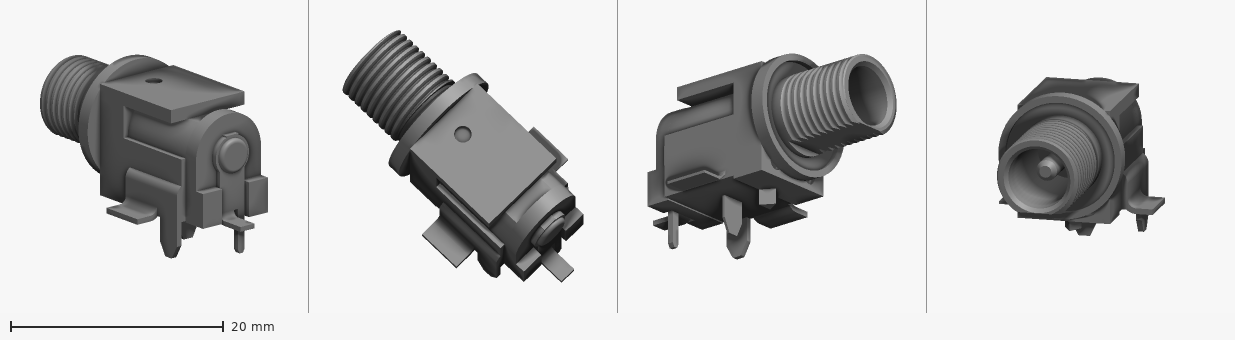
import cadquery as cq
import math


thread_radius = 3.97
thread_pitch = 25.4 / 32
thread_depth = 0.42
thread_root_radius = thread_radius - thread_depth
groove_root_width = 0.1
groove_mouth_width = 0.52
groove_phase = 0.11
groove_overshoot = 0.2
groove_lead_turns = 2
groove_end = 7.25
groove_lead = 5.0
blank_seam_angle = 37
tip_radius = 3.82
tip_chamfer_length = 0.1
relief_start = 7.2
relief_radius = 3.5
relief_end = 7.45
collar_start = 7.75
barrel_flat_z = -3.28

flange_front = 8.27
flange_back = 9.63
flange_radius = 6.0
flange_recess_radius = 5.35
flange_recess_depth = 0.6

bore_radius = 2.9
bore_mouth_radius = 3.25
bore_mouth_depth = 0.4
bore_floor = 11.0
bore_pocket_depth = 0.8
bore_pocket_top = -1.93
bore_pocket_back_top = -2.05
pin_tip = 3.0
pin_radius = 1.0
pin_tip_radius = 0.58
pin_taper_length = 0.5
pin_root_fillet = 0.28
pin_base_radius = 1.79
pin_base_height = 0.3

housing_half_width = 4.5
housing_top = 4.5
housing_front_bottom = -6.5
housing_rear_bottom = -6.19
housing_step = 13.09
housing_top_end = 20.1
housing_end = 21.62
rear_flat_top = 3.2
rear_radius = 3.97

dimple_radius = 0.82
dimple_edge_radius = 0.2
dimple_depth = 0.55
top_dimple_x = 12.17
front_dimple_y = 2.4
front_dimple_z = -5.05

post_tip = 11.7
post_half_width = 0.8
post_bottom = -8.04

cap_end = 23.15
cap_half_width = 3.98
cap_bottom = -6.33
cap_block_top = -2.89
cap_block_end = 24.19
cap_slot_half_width = 1.65

terminal_thickness = 0.58
terminal_back = cap_end + terminal_thickness
terminal_head_radius = 2.03
terminal_half_width = 1.5
terminal_nib_half_width = 0.75
terminal_nib_top = 2.05
terminal_leg_bottom = -9.88
terminal_leg_width = 0.82
terminal_leg_chamfer_height = 0.4
terminal_leg_chamfer_width = 0.22
terminal_tab_end = 26.72
terminal_tab_y_max = 0.2
terminal_tab_top = -6.03
terminal_tab_thickness = 0.48
terminal_bend_radius = 0.6
rivet_radius = 1.72
rivet_edge_radius = 0.4

plate_start = 14.06
plate_thickness = 0.54
plate_outer_y = -housing_half_width - plate_thickness
plate_top = -2.65
plate_straight_top = -3.62
plate_leg_start = 19.12
plate_leg_shoulder = -8.54
plate_leg_tip_half_width = 0.48
plate_leg_corner_radius = 0.2
plate_leg_bottom = terminal_leg_bottom

foot_start = 14.13
foot_end = 18.68
plate_foot_end_y = -7.44
plate_foot_top = -6.03
plate_foot_thickness = 0.55
plate_foot_bend_radius = 0.78
sheet_thickness = 0.27
sheet_foot_end_y = 7.51
sheet_foot_bend_y = 5.4
sheet_foot_top = -6.25
sheet_foot_root_top = -5.42
sheet_foot_bend_end = (4.84, -5.88)
sheet_foot_kink = (4.66, -5.7)
sheet_foot_bend_radius = 1.0

middle_leg_start = 16.97
middle_leg_half_width = 1.25
middle_leg_shoulder = -8.4
middle_leg_bottom = -9.82
middle_leg_tip_half_width = 0.55

nib_length = 0.23
nib_y_max = 4.45
nib_bottom = -3.0
nib_top = -1.0
nib_radius = 0.15


def block(x0, x1, y0, y1, z0, z1):
    """Box between two opposite corners."""
    return cq.Workplane("XY").box(x1 - x0, y1 - y0, z1 - z0, centered=False).translate((x0, y0, z0))


def rod(x0, x1, radius):
    """Cylinder on the barrel axis."""
    return cq.Workplane("YZ", origin=(x0, 0, 0)).circle(radius).extrude(x1 - x0)


def turned(profile):
    """Revolve an (X, radius) outline about the barrel axis."""
    return profile.close().revolve(360, (0, 0, 0), (1, 0, 0))


def sheet_across_x(x0, x1):
    """Sketch plane at X = x0 with local axes Y and Z, and the extrusion length to x1."""
    return cq.Workplane("YZ", origin=(x0, 0, 0)), x1 - x0


def thread_groove():
    """Helical groove cutter, swept along Z and laid over onto X."""
    groove_start = groove_phase - groove_lead_turns * thread_pitch
    overshoot = groove_overshoot
    overshoot_ratio = (thread_depth + overshoot) / thread_depth
    root_half = groove_root_width / 2
    outer_half = root_half + (groove_mouth_width / 2 - root_half) * overshoot_ratio
    outer_radius = thread_radius + overshoot
    helix_length = groove_end - groove_start
    helix = cq.Wire.makeHelix(thread_pitch, helix_length, thread_root_radius)
    groove = (
        cq.Workplane("XZ")
        .moveTo(thread_root_radius, -root_half)
        .lineTo(outer_radius, -outer_half)
        .lineTo(outer_radius, outer_half)
        .lineTo(thread_root_radius, root_half)
        .close()
        .sweep(cq.Workplane(obj=helix), isFrenet=True)
    )
    return groove.rotate((0, 0, 0), (0, 1, 0), 90).translate((groove_start, 0, 0))


def make_barrel():
    """Threaded barrel: a longer blank is grooved, then trimmed to its turned outline."""
    blank = rod(-groove_lead, flange_back, thread_radius)
    blank = blank.rotate((0, 0, 0), (1, 0, 0), blank_seam_angle).cut(thread_groove())
    outer = thread_radius + thread_depth
    blank = blank.cut(rod(-groove_lead, 0, outer))
    relief = turned(
        cq.Workplane("XY")
        .moveTo(relief_start, outer)
        .lineTo(relief_start, relief_radius)
        .lineTo(relief_end, relief_radius)
        .lineTo(collar_start, thread_radius)
        .lineTo(collar_start, outer)
    )
    tip_chamfer = turned(
        cq.Workplane("XY")
        .moveTo(0, outer)
        .lineTo(0, tip_radius)
        .lineTo(tip_chamfer_length, thread_radius)
        .lineTo(tip_chamfer_length, outer)
    )
    flat = block(0, flange_front, -thread_radius, thread_radius, -flange_radius, barrel_flat_z)
    return blank.cut(relief).cut(tip_chamfer).cut(flat)


def make_flange():
    flange = rod(flange_front, flange_back, flange_radius)
    recess_floor = flange_front + flange_recess_depth
    return flange.cut(rod(flange_front, recess_floor, flange_recess_radius))


def dimple(centre, direction):
    """Blind round hole with a rounded floor edge, running from its mouth along a direction."""
    hole = cq.Solid.makeCylinder(dimple_radius, dimple_depth, cq.Vector(*centre), cq.Vector(*direction))
    floor = cq.Workplane(obj=hole).faces(cq.selectors.DirectionMinMaxSelector(cq.Vector(*direction), True))
    return floor.edges().fillet(dimple_edge_radius)


def make_housing():
    w = housing_half_width
    front_block = block(flange_back, housing_step, -w, w, housing_front_bottom, housing_top)
    rear_lower = block(housing_step, housing_end, -w, w, housing_rear_bottom, 0)
    top_slab = block(housing_step, housing_top_end, -w, w, rear_flat_top, housing_top)
    rear_round = rod(housing_step, housing_end, rear_radius)
    rear_round = rear_round.cut(block(housing_step, housing_end, -w, w, rear_flat_top, housing_top))
    housing = front_block.union(rear_lower).union(rear_round).union(top_slab)
    housing = housing.cut(dimple((top_dimple_x, 0, housing_top), (0, 0, -1)))
    for side in (-1, 1):
        housing = housing.cut(dimple((flange_back, side * front_dimple_y, front_dimple_z), (1, 0, 0)))
    return housing


def make_post():
    return (
        cq.Workplane("XY", origin=(0, 0, post_bottom))
        .moveTo(post_tip, 0)
        .lineTo(housing_step, -post_half_width)
        .lineTo(housing_step, post_half_width)
        .close()
        .extrude(housing_front_bottom - post_bottom)
    )


def cut_bore(body):
    """Socket bore with a chamfered mouth and a deeper pocket low in its floor."""
    bore = turned(
        cq.Workplane("XY")
        .lineTo(0, bore_mouth_radius)
        .lineTo(bore_mouth_depth, bore_radius)
        .lineTo(bore_floor, bore_radius)
        .lineTo(bore_floor, 0)
    )
    pocket_back = bore_floor + bore_pocket_depth
    pocket = (
        cq.Workplane("XZ")
        .moveTo(bore_floor, bore_pocket_top)
        .lineTo(pocket_back, bore_pocket_back_top)
        .lineTo(pocket_back, -bore_radius)
        .lineTo(bore_floor, -bore_radius)
        .close()
        .extrude(bore_radius, both=True)
        .intersect(rod(bore_floor, pocket_back, bore_radius))
    )
    return body.cut(bore).cut(pocket)


def make_pin():
    base_front = bore_floor - pin_base_height
    fillet_start = base_front - pin_root_fillet
    fillet_radius_out = pin_radius + pin_root_fillet
    return turned(
        cq.Workplane("XY")
        .moveTo(pin_tip, 0)
        .lineTo(pin_tip, pin_tip_radius)
        .lineTo(pin_tip + pin_taper_length, pin_radius)
        .lineTo(fillet_start, pin_radius)
        .radiusArc((base_front, fillet_radius_out), -pin_root_fillet)
        .lineTo(base_front, pin_base_radius)
        .lineTo(bore_floor, pin_base_radius)
        .lineTo(bore_floor, 0)
    )


def make_end_cap():
    w = cap_half_width
    round_top = rod(housing_end, cap_end, cap_half_width)
    lower = block(housing_end, cap_end, -w, w, cap_bottom, 0)
    rear_block = block(cap_end, cap_block_end, -w, w, cap_bottom, cap_block_top)
    slot_w = cap_slot_half_width
    rear_slot = block(cap_end, cap_block_end, -slot_w, slot_w, cap_bottom, cap_block_top)
    return round_top.union(lower).union(rear_block.cut(rear_slot))


def make_terminal():
    """Round-headed strip on the end cap, with a straight leg and a tab bent backward."""
    w = terminal_half_width
    bend_centre_z = terminal_tab_top + terminal_bend_radius
    head = rod(cap_end, terminal_back, terminal_head_radius)
    nib_w = terminal_nib_half_width
    nib = block(cap_end, terminal_back, -nib_w, nib_w, 0, terminal_nib_top)
    strip = block(cap_end, terminal_back, -w, w, bend_centre_z, 0)

    plane, thickness = sheet_across_x(cap_end, terminal_back)
    leg_inner = w - terminal_leg_width
    chamfer_top = terminal_leg_bottom + terminal_leg_chamfer_height
    leg = (
        plane.moveTo(w, bend_centre_z)
        .lineTo(w, chamfer_top)
        .lineTo(w - terminal_leg_chamfer_width, terminal_leg_bottom)
        .lineTo(leg_inner + terminal_leg_chamfer_width, terminal_leg_bottom)
        .lineTo(leg_inner, chamfer_top)
        .lineTo(leg_inner, bend_centre_z)
        .close()
        .extrude(thickness)
    )

    flat_start = terminal_back + terminal_bend_radius
    outer_bend_radius = terminal_bend_radius + terminal_tab_thickness
    tab_bottom = terminal_tab_top - terminal_tab_thickness
    tab = (
        cq.Workplane("XZ", origin=(0, terminal_tab_y_max, 0))
        .moveTo(terminal_back, bend_centre_z)
        .radiusArc((flat_start, terminal_tab_top), -terminal_bend_radius)
        .lineTo(terminal_tab_end, terminal_tab_top)
        .lineTo(terminal_tab_end, tab_bottom)
        .lineTo(flat_start, tab_bottom)
        .radiusArc((flat_start - outer_bend_radius, bend_centre_z), outer_bend_radius)
        .close()
        .extrude(terminal_tab_y_max + w)
    )
    rivet = rod(terminal_back, cap_block_end, rivet_radius).faces(">X").edges().fillet(rivet_edge_radius)
    return head.union(nib).union(strip).union(leg).union(tab).union(rivet)


def make_side_plate():
    """Contact plate on the -Y wall, curling into the wall at its top, with a leg and a foot."""
    plane, length = sheet_across_x(plate_start, housing_end)
    curl_height = plate_top - plate_straight_top
    curl_radius = (curl_height**2 + plate_thickness**2) / (2 * plate_thickness)
    plate = (
        plane.moveTo(-housing_half_width, plate_top)
        .radiusArc((plate_outer_y, plate_straight_top), -curl_radius)
        .lineTo(plate_outer_y, housing_rear_bottom)
        .lineTo(-housing_half_width, housing_rear_bottom)
        .close()
        .extrude(length)
    )

    leg_centre = (plate_leg_start + housing_end) / 2
    leg = (
        cq.Workplane("XZ", origin=(0, -housing_half_width, 0))
        .moveTo(plate_leg_start, housing_rear_bottom)
        .lineTo(plate_leg_start, plate_leg_shoulder)
        .lineTo(leg_centre - plate_leg_tip_half_width, plate_leg_bottom)
        .lineTo(leg_centre + plate_leg_tip_half_width, plate_leg_bottom)
        .lineTo(housing_end, plate_leg_shoulder)
        .lineTo(housing_end, housing_rear_bottom)
        .close()
        .extrude(plate_thickness)
    )
    leg = leg.faces("<Z").edges("|Y").fillet(plate_leg_corner_radius)

    plane, length = sheet_across_x(foot_start, foot_end)
    bend = plate_foot_bend_radius
    outer_bend = bend + plate_foot_thickness
    flat_start_y = plate_outer_y - bend
    foot_bottom = plate_foot_top - plate_foot_thickness
    foot = (
        plane.moveTo(plate_outer_y, plate_foot_top + bend)
        .radiusArc((flat_start_y, plate_foot_top), bend)
        .lineTo(plate_foot_end_y, plate_foot_top)
        .lineTo(plate_foot_end_y, foot_bottom)
        .lineTo(flat_start_y, foot_bottom)
        .radiusArc((flat_start_y + outer_bend, plate_foot_top + bend), -outer_bend)
        .close()
        .extrude(length)
    )
    return plate.union(leg).union(foot)


def make_sheet_contact():
    """Thin sheet parts: the +Y solder foot, the middle leg and the rounded rear end."""
    plane, length = sheet_across_x(foot_start, foot_end)
    slope_drop = sheet_thickness * math.sqrt(2)
    foot_bottom = sheet_foot_top - sheet_thickness
    foot = (
        plane.moveTo(housing_half_width, sheet_foot_root_top)
        .lineTo(*sheet_foot_kink)
        .lineTo(*sheet_foot_bend_end)
        .radiusArc((sheet_foot_bend_y, sheet_foot_top), -sheet_foot_bend_radius)
        .lineTo(sheet_foot_end_y, sheet_foot_top)
        .lineTo(sheet_foot_end_y, foot_bottom)
        .lineTo(sheet_foot_bend_y - slope_drop + sheet_thickness, foot_bottom)
        .lineTo(housing_half_width, sheet_foot_root_top - slope_drop)
        .close()
        .extrude(length)
    )

    plane, thickness = sheet_across_x(middle_leg_start, middle_leg_start + sheet_thickness)
    leg = (
        plane.moveTo(-middle_leg_half_width, housing_rear_bottom)
        .lineTo(-middle_leg_half_width, middle_leg_shoulder)
        .lineTo(-middle_leg_tip_half_width, middle_leg_bottom)
        .lineTo(middle_leg_tip_half_width, middle_leg_bottom)
        .lineTo(middle_leg_half_width, middle_leg_shoulder)
        .lineTo(middle_leg_half_width, housing_rear_bottom)
        .close()
        .extrude(thickness)
    )

    nib = block(housing_end, housing_end + nib_length, cap_half_width, nib_y_max, nib_bottom, nib_top)
    nib = nib.edges(">X and >Y").fillet(nib_radius)
    return foot.union(leg).union(nib)


body = make_barrel().union(make_flange()).union(make_housing()).union(make_end_cap())
body = cut_bore(body).union(make_pin())
result = (
    body.union(make_post())
    .union(make_terminal())
    .union(make_side_plate())
    .union(make_sheet_contact())
)